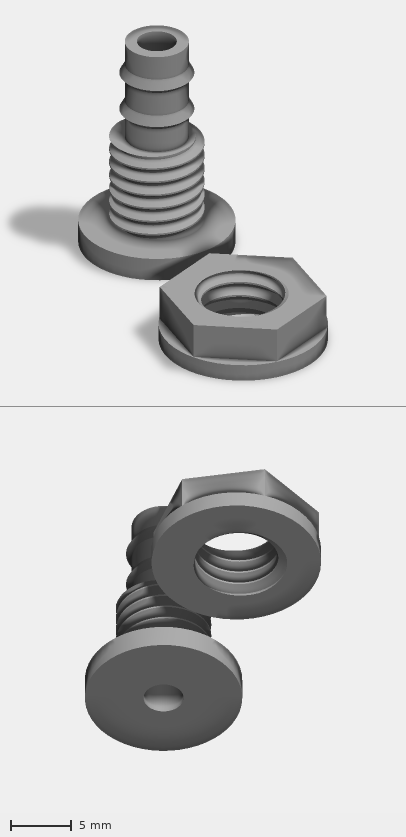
import cadquery as cq
import math

pitch = 1.25
flank_angle = 30.0
thread_embed = 0.05

flange_diameter = 13.0
flange_height = 2.02
screw_top = 10.0
screw_major_diameter = 7.88
screw_root_diameter = 6.45
screw_crest_width = 0.15
screw_crest_height = 1.7
tube_diameter = 5.3
fitting_height = 19.0
bore_diameter = 3.3
barb_diameter = 6.2
barb_lower_height = 0.45
barb_upper_height = 0.85
lowest_barb_base = 12.18
barb_spacing = 3.43
barb_count = 2

overall_length = 31.15
nut_flange_diameter = 14.0
nut_flange_height = 1.45
nut_height = 4.5
across_flats = 12.0
nut_groove_diameter = 8.38
nut_bore_diameter = 6.95
nut_groove_width = 0.25
nut_groove_height = 4.65
nut_x = overall_length - (flange_diameter + nut_flange_diameter) / 2


def cylinder(diameter, bottom, top):
    return cq.Workplane("XY").workplane(offset=bottom).circle(diameter / 2).extrude(top - bottom)


def threaded_rod(root_diameter, major_diameter, bottom, top, crest_width, crest_height):
    """Right-handed threaded rod, trimmed flat at both ends."""
    root_radius = root_diameter / 2
    crest_radius = major_diameter / 2
    foot_radius = root_radius - thread_embed
    half_crest = crest_width / 2
    half_foot = half_crest + (crest_radius - foot_radius) * math.tan(math.radians(flank_angle))

    turns_below = math.ceil((crest_height - bottom) / pitch) + 1
    start = crest_height - turns_below * pitch
    turns = math.ceil((top - start) / pitch) + 1
    helix = cq.Wire.makeHelix(pitch, turns * pitch, root_radius)
    ridge = (
        cq.Workplane("XZ")
        .polyline([
            (foot_radius, -half_foot),
            (crest_radius, -half_crest),
            (crest_radius, half_crest),
            (foot_radius, half_foot),
        ])
        .close()
        .sweep(cq.Workplane(helix), isFrenet=True)
        .translate((0, 0, start))
    )
    trim_band = cylinder(2 * major_diameter, bottom, top)
    core = cylinder(root_diameter, start - pitch, start + (turns + 1) * pitch)
    return core.union(ridge).intersect(trim_band)


def barb(base):
    """Double-cone ring around the tube."""
    tube_radius = tube_diameter / 2
    peak = base + barb_lower_height
    return (
        cq.Workplane("XZ")
        .polyline([
            (0, base),
            (tube_radius, base),
            (barb_diameter / 2, peak),
            (tube_radius, peak + barb_upper_height),
            (0, peak + barb_upper_height),
        ])
        .close()
        .revolve(360, (0, 0, 0), (0, 1, 0))
    )


def make_fitting():
    screw = threaded_rod(
        screw_root_diameter,
        screw_major_diameter,
        flange_height,
        screw_top,
        screw_crest_width,
        screw_crest_height,
    )
    body = cylinder(flange_diameter, 0, flange_height).union(screw)
    body = body.union(cylinder(tube_diameter, screw_top, fitting_height))
    for index in range(barb_count):
        body = body.union(barb(lowest_barb_base + index * barb_spacing))
    return body.cut(cylinder(bore_diameter, 0, fitting_height))


def make_nut():
    across_corners = across_flats / math.cos(math.radians(30))
    hexagon = cq.Workplane("XY").polygon(6, across_corners).extrude(nut_height)
    body = cylinder(nut_flange_diameter, 0, nut_flange_height).union(hexagon)
    threaded_hole = threaded_rod(
        nut_bore_diameter,
        nut_groove_diameter,
        0,
        nut_height,
        nut_groove_width,
        nut_groove_height,
    )
    return body.cut(threaded_hole).translate((nut_x, 0, 0))


fitting = make_fitting()
nut = make_nut()
result = cq.Compound.makeCompound([fitting.val(), nut.val()])